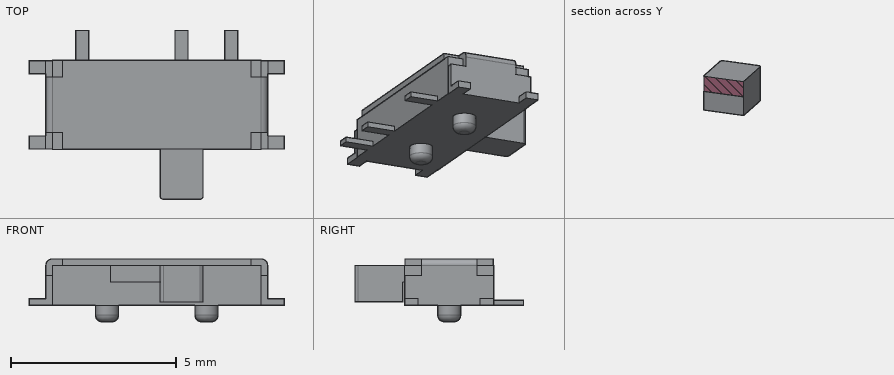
import cadquery as cq

BLOCK_LENGTH = 6.3
BLOCK_WIDTH = 2.7
BLOCK_HEIGHT = 1.2

SHEET = 0.2
COVER_WIDTH = 2.67
COVER_LENGTH = BLOCK_LENGTH + 2 * SHEET
COVER_HEIGHT = BLOCK_HEIGHT + SHEET
NOTCH = 0.5

TOTAL_LENGTH = 7.7
FOOT_WIDTH = 0.4

LEAD_POSITIONS = (-2.25, 0.75, 2.25)
LEAD_WIDTH = 0.4
LEAD_THICKNESS = 0.155
LEAD_TIP_Y = 2.25

PEG_DIAMETER = 0.7
PEG_LENGTH = 0.5
PEG_SPACING = 3.0
PEG_ROUNDING = 0.2

SLOT_LENGTH = 2.8
SLOT_FLOOR_Z = 0.7
SLOT_DEPTH = 1.0

KNOB_LENGTH = 1.3
KNOB_BOTTOM_Z = 0.1
KNOB_FRONT_Y = -2.85
KNOB_ROUNDING = 0.1
KNOB_CLEARANCE = 0.05

FRONT_Y = -BLOCK_WIDTH / 2
SLOT_BACK_Y = FRONT_Y + SLOT_DEPTH


def box_between(x_range, y_range, z_range):
    """Box given by its lower and upper limit along each axis."""
    lower, upper = zip(x_range, y_range, z_range)
    size = [high - low for low, high in zip(lower, upper)]
    return cq.Workplane("XY").box(*size, centered=False).translate(lower)


def standing_box(length, width, height):
    """Box centred on X and Y that stands on Z = 0."""
    return cq.Workplane("XY").box(length, width, height, centered=(True, True, False))


def make_cover():
    """Folded sheet with rounded bends, notched corners and four feet."""
    cover = standing_box(COVER_LENGTH, COVER_WIDTH, COVER_HEIGHT)
    cover = cover.edges("|Y and >Z").fillet(SHEET)
    cover = cover.cut(standing_box(BLOCK_LENGTH, COVER_WIDTH, BLOCK_HEIGHT))

    notch_x = COVER_LENGTH / 2 - NOTCH / 2
    notch_y = COVER_WIDTH / 2 - NOTCH / 2
    foot_length = (TOTAL_LENGTH - COVER_LENGTH) / 2 + SHEET
    foot_x = (TOTAL_LENGTH - foot_length) / 2
    foot_y = (COVER_WIDTH - FOOT_WIDTH) / 2
    notch = standing_box(NOTCH, NOTCH, NOTCH)
    foot = standing_box(foot_length, FOOT_WIDTH, SHEET)
    for x_side in (-1, 1):
        for y_side in (-1, 1):
            cover = cover.cut(notch.translate((x_side * notch_x, y_side * notch_y, COVER_HEIGHT - NOTCH)))
            cover = cover.union(foot.translate((x_side * foot_x, y_side * foot_y, 0)))
    return cover


def make_lead(x):
    """Flat contact lead that leaves the back face of the block."""
    return box_between(
        (x - LEAD_WIDTH / 2, x + LEAD_WIDTH / 2),
        (BLOCK_WIDTH / 2, LEAD_TIP_Y),
        (0, LEAD_THICKNESS),
    )


def make_peg(x):
    """Locating peg with a rounded tip, hanging from the underside."""
    peg = cq.Workplane("XY").center(x, 0).circle(PEG_DIAMETER / 2).extrude(-PEG_LENGTH)
    return peg.faces("<Z").edges().fillet(PEG_ROUNDING)


def make_housing():
    """Block with its slider slot, cover, leads and pegs as one solid."""
    slot = box_between(
        (-SLOT_LENGTH / 2, SLOT_LENGTH / 2),
        (FRONT_Y, SLOT_BACK_Y),
        (SLOT_FLOOR_Z, BLOCK_HEIGHT),
    )
    housing = standing_box(BLOCK_LENGTH, BLOCK_WIDTH, BLOCK_HEIGHT).cut(slot)
    housing = housing.union(make_cover())
    for x in LEAD_POSITIONS:
        housing = housing.union(make_lead(x))
    for x in (-PEG_SPACING / 2, PEG_SPACING / 2):
        housing = housing.union(make_peg(x))
    return housing


def make_slider():
    """Knob in front of the housing with a stem that fills the slot depth."""
    knob_right = SLOT_LENGTH / 2
    knob_x = (knob_right - KNOB_LENGTH, knob_right)
    knob_back_y = FRONT_Y - KNOB_CLEARANCE
    knob = box_between(knob_x, (KNOB_FRONT_Y, knob_back_y), (KNOB_BOTTOM_Z, BLOCK_HEIGHT))
    knob = knob.edges("|Z and <Y").fillet(KNOB_ROUNDING)
    stem = box_between(knob_x, (knob_back_y, SLOT_BACK_Y), (SLOT_FLOOR_Z, BLOCK_HEIGHT))
    return knob.union(stem)


housing = make_housing()
slider = make_slider()

result = cq.Compound.makeCompound([housing.val(), slider.val()])